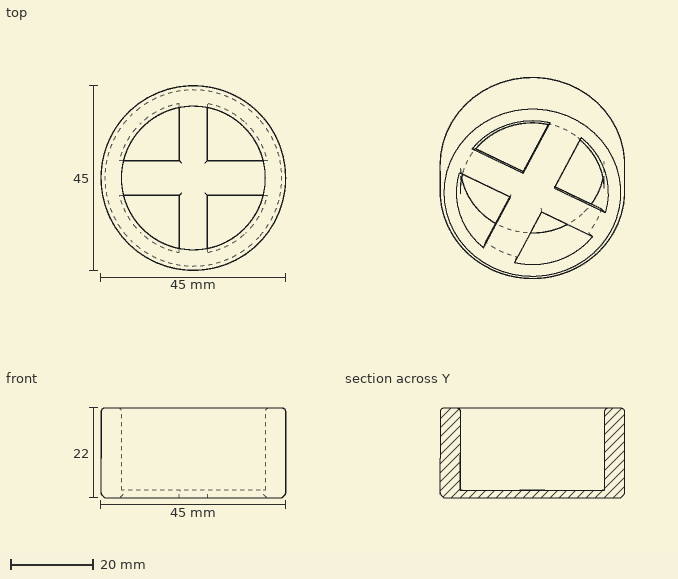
import cadquery as cq

outer_diameter = 45.0
inner_diameter = 35.0
height = 22.0
rim_round = 1.0
foot_chamfer = 1.0
foot_blend = 1.0

x_spoke_width = 8.5
y_spoke_width = 6.9
spoke_height = 2.0
spoke_round = 0.68
spoke_length = (inner_diameter + outer_diameter) / 2


def make_ring():
    ring = cq.Workplane("XY").circle(outer_diameter / 2).circle(inner_diameter / 2).extrude(height)
    ring = ring.faces(">Z").edges().fillet(rim_round)
    ring = ring.faces("<Z").edges().chamfer(foot_chamfer)
    chamfer_tops = cq.selectors.BoxSelector(
        (-outer_diameter, -outer_diameter, foot_chamfer / 2),
        (outer_diameter, outer_diameter, foot_chamfer * 1.5),
    )
    return ring.edges("%CIRCLE").edges(chamfer_tops).fillet(foot_blend)


def make_cross():
    centered = (True, True, False)
    x_spoke = cq.Workplane("XY").box(spoke_length, x_spoke_width, spoke_height, centered=centered)
    y_spoke = cq.Workplane("XY").box(y_spoke_width, spoke_length, spoke_height, centered=centered)
    return x_spoke.union(y_spoke).faces(">Z").edges().fillet(spoke_round)


result = make_ring().union(make_cross())